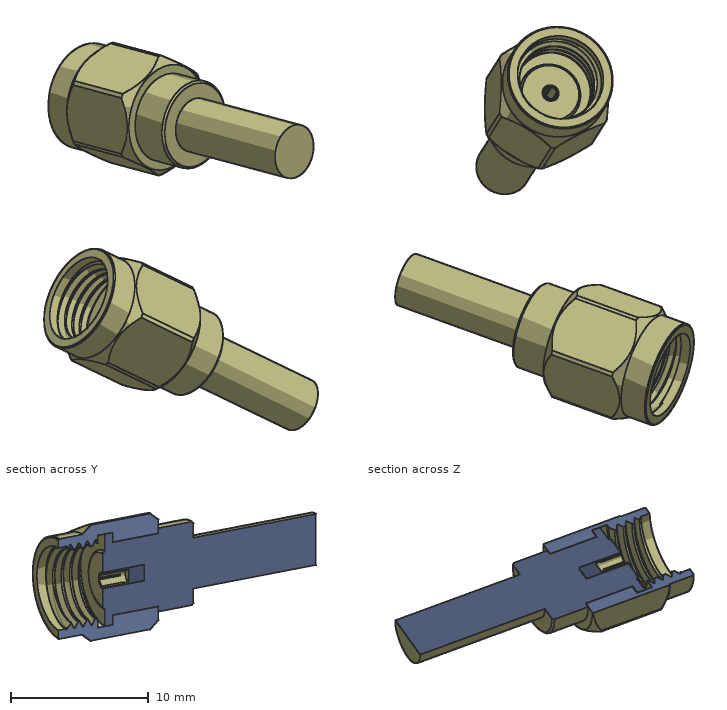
import cadquery as cq
import math


ACROSS_FLATS = 7.95
ACROSS_CORNERS = 9.0
COLLAR_RADIUS = 3.9
COLLAR_LENGTH = 2.0
COLLAR_CHAMFER = 0.09
NUT_LENGTH = 8.35
HEX_CHAMFER_LENGTH = 0.7

ENTRY_RADIUS = 3.17
ENTRY_DEPTH = 0.73
BORE_RADIUS = 2.8
LEAD_IN_END = 1.1
PITCH = 0.7
THREAD_HALF_ANGLE = 30
CREST_WIDTH = 0.17
THREAD_START = 0.66
RELIEF_START = 3.32
RELIEF_RADIUS = 3.55
GROOVE_CUTTER_INNER_RADIUS = 2.76

FACE_X = 3.85
FLANGE_LENGTH = 0.65
BOSS_RADIUS = 2.25
BOSS_CHAMFER = 0.15
BOSS_LENGTH = 0.17
REAR_COLLAR_RADIUS = 3.25
REAR_COLLAR_END = 11.25
REAR_COLLAR_CHAMFER = 0.15
STEM_RADIUS = 2.0
TOTAL_LENGTH = 21.4

CONTACT_RADIUS = 0.6
CONTACT_CHAMFER = 0.05
CONTACT_LENGTH = 3.43
SOCKET_RADIUS = 0.45
SOCKET_DEPTH = 2.15
SLOT_WIDTH = 0.13
SLOT_DEPTH = 1.71

BOSS_X = FACE_X - BOSS_LENGTH
FLANGE_END = FACE_X + FLANGE_LENGTH


def revolve_profile(points):
    """Turn a closed (x, radius) profile about the X axis."""
    return cq.Workplane("XY").polyline(points).close().revolve(360, (0, 0, 0), (1, 0, 0))


def disc(start, length, radius):
    """A cylinder along X."""
    return cq.Workplane("YZ").workplane(offset=start).circle(radius).extrude(length)


def make_thread_groove():
    """A V-shaped helical cutter, wound about Z and then laid along X."""
    flank_slope = math.tan(math.radians(THREAD_HALF_ANGLE))
    tip_radius = BORE_RADIUS + (PITCH - CREST_WIDTH) / 2 / flank_slope
    half_width = (tip_radius - GROOVE_CUTTER_INNER_RADIUS) * flank_slope
    length = RELIEF_START + PITCH / 2 - THREAD_START
    helix = cq.Workplane(obj=cq.Wire.makeHelix(PITCH, length, BORE_RADIUS))
    groove = (
        cq.Workplane("XZ")
        .polyline([
            (GROOVE_CUTTER_INNER_RADIUS, -half_width),
            (tip_radius, 0),
            (GROOVE_CUTTER_INNER_RADIUS, half_width),
        ])
        .close()
        .sweep(helix, isFrenet=True)
    )
    return groove.rotate((0, 0, 0), (0, 1, 0), 90).translate((THREAD_START, 0, 0))


def make_nut():
    """Hexagonal nut with a round front collar, a threaded bore and a relief that houses the body flange."""
    corner_radius = ACROSS_CORNERS / 2
    turned = revolve_profile([
        (0, 0),
        (0, COLLAR_RADIUS - COLLAR_CHAMFER),
        (COLLAR_CHAMFER, COLLAR_RADIUS),
        (COLLAR_LENGTH, COLLAR_RADIUS),
        (COLLAR_LENGTH + HEX_CHAMFER_LENGTH, corner_radius),
        (NUT_LENGTH - HEX_CHAMFER_LENGTH, corner_radius),
        (NUT_LENGTH, COLLAR_RADIUS),
        (NUT_LENGTH, 0),
    ])
    hexagon = (
        cq.Workplane("YZ")
        .polygon(6, ACROSS_FLATS, circumscribed=True)
        .extrude(NUT_LENGTH)
    )
    bore = revolve_profile([
        (0, 0),
        (0, ENTRY_RADIUS),
        (ENTRY_DEPTH, ENTRY_RADIUS),
        (LEAD_IN_END, BORE_RADIUS),
        (NUT_LENGTH, BORE_RADIUS),
        (NUT_LENGTH, 0),
    ])
    relief = disc(RELIEF_START, FLANGE_END - RELIEF_START, RELIEF_RADIUS)
    return turned.intersect(hexagon).cut(bore).cut(make_thread_groove()).cut(relief)


def make_body():
    """Turned body: chamfered boss, flange and shank inside the nut, rear collar and stem."""
    turned = revolve_profile([
        (BOSS_X, 0),
        (BOSS_X, BOSS_RADIUS - BOSS_CHAMFER),
        (BOSS_X + BOSS_CHAMFER, BOSS_RADIUS),
        (FACE_X, BOSS_RADIUS),
        (FACE_X, RELIEF_RADIUS),
        (FLANGE_END, RELIEF_RADIUS),
        (FLANGE_END, BORE_RADIUS),
        (NUT_LENGTH, BORE_RADIUS),
        (NUT_LENGTH, REAR_COLLAR_RADIUS),
        (REAR_COLLAR_END - REAR_COLLAR_CHAMFER, REAR_COLLAR_RADIUS),
        (REAR_COLLAR_END, REAR_COLLAR_RADIUS - REAR_COLLAR_CHAMFER),
        (REAR_COLLAR_END, STEM_RADIUS),
        (TOTAL_LENGTH, STEM_RADIUS),
        (TOTAL_LENGTH, 0),
    ])
    return turned.cut(disc(BOSS_X, CONTACT_LENGTH, CONTACT_RADIUS))


def make_contact():
    """Socket contact, flush with the boss, split by two crossed slots."""
    contact = disc(BOSS_X, CONTACT_LENGTH, CONTACT_RADIUS).faces("<X").chamfer(CONTACT_CHAMFER)
    contact = contact.cut(disc(BOSS_X, SOCKET_DEPTH, SOCKET_RADIUS))
    slot = (
        cq.Workplane("YZ")
        .workplane(offset=BOSS_X)
        .rect(2 * CONTACT_RADIUS, SLOT_WIDTH)
        .extrude(SLOT_DEPTH)
    )
    for angle in (0, 90):
        contact = contact.cut(slot.rotate((0, 0, 0), (1, 0, 0), angle))
    return contact


nut = make_nut()
body = make_body()
contact = make_contact()

result = cq.Compound.makeCompound([nut.val(), body.val(), contact.val()])